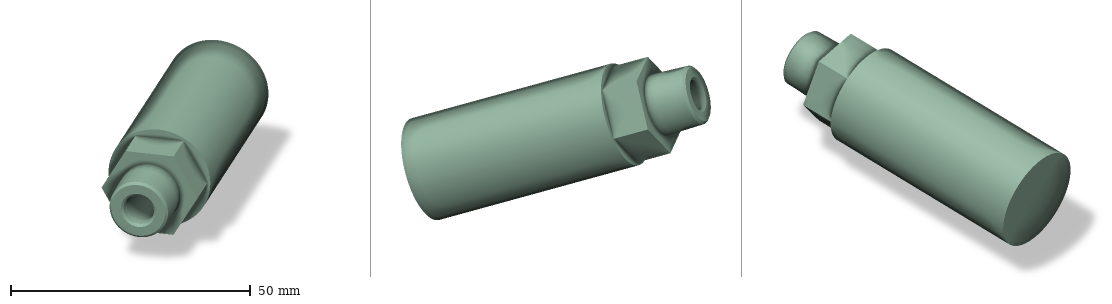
import cadquery as cq
import math

total_length = 64.0
hex_length = 8.0
spigot_length = 9.15
body_length = total_length - hex_length - spigot_length

body_diameter = 22.0
hex_across_flats = 18.0
hex_across_corners = hex_across_flats / math.cos(math.pi / 6)

spigot_base_diameter = 13.2
spigot_tip_diameter = 12.6
tip_chamfer = 0.5
bore_diameter = 6.5
bore_mouth_chamfer = 0.5
bore_depth = spigot_length + hex_length

tip_y = -total_length / 2
hex_start_y = tip_y + spigot_length
body_start_y = hex_start_y + hex_length


def section_plane(y):
    """Plane across the axis at y, extruding toward +Y."""
    return cq.Workplane(cq.Plane(origin=(0, y, 0), xDir=(1, 0, 0), normal=(0, 1, 0)))


def make_body():
    return section_plane(body_start_y).circle(body_diameter / 2).extrude(body_length)


def make_hex():
    return section_plane(hex_start_y).polygon(6, hex_across_corners).extrude(hex_length)


def make_spigot():
    """Taper that narrows toward the tip, with a chamfered tip edge."""
    spigot = (
        section_plane(tip_y)
        .circle(spigot_tip_diameter / 2)
        .workplane(offset=spigot_length)
        .circle(spigot_base_diameter / 2)
        .loft(ruled=True)
    )
    return spigot.faces("<Y").chamfer(tip_chamfer)


def make_bore():
    """Blind bore with a 45 degree countersunk mouth."""
    bore_radius = bore_diameter / 2
    bore = section_plane(tip_y).circle(bore_radius).extrude(bore_depth)
    mouth = (
        section_plane(tip_y)
        .circle(bore_radius + bore_mouth_chamfer)
        .workplane(offset=bore_mouth_chamfer)
        .circle(bore_radius)
        .loft(ruled=True)
    )
    return bore.union(mouth)


result = make_body().union(make_hex()).union(make_spigot()).cut(make_bore())